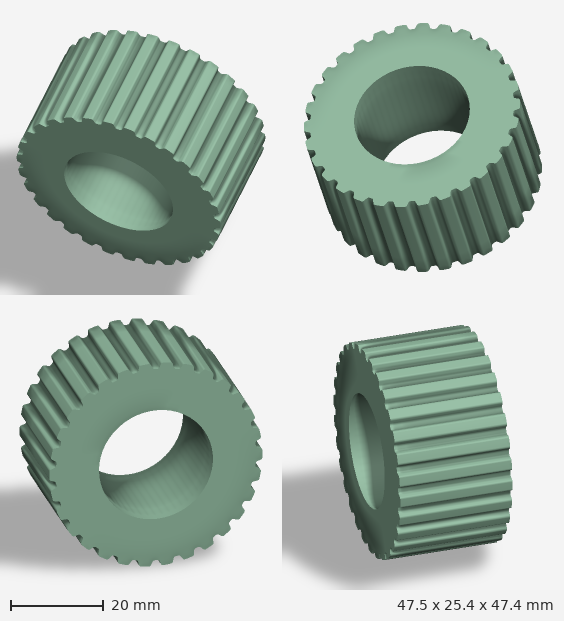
import cadquery as cq
import math

TOOTH_COUNT = 30
BELT_PITCH = 5.08
PITCH_LINE_OFFSET = 0.51
FACE_WIDTH = 25.4
BORE_DIAMETER = 25.4
GROOVE_DEPTH = 1.40
GROOVE_FLOOR_WIDTH = 1.27
FLANK_ANGLE = 25.0
CORNER_RADIUS = 0.508

tip_radius = TOOTH_COUNT * BELT_PITCH / (2 * math.pi) - PITCH_LINE_OFFSET
floor_height = tip_radius - GROOVE_DEPTH
half_floor = GROOVE_FLOOR_WIDTH / 2
pitch_angle = 2 * math.pi / TOOTH_COUNT


def groove_mouth_angle():
    """Angle from the groove axis to the point where a flank meets the tip circle."""
    flank = math.radians(FLANK_ANGLE)
    flank_distance = half_floor * math.cos(flank) - floor_height * math.sin(flank)
    return flank + math.asin(flank_distance / tip_radius)


def polar(radius, angle):
    """Point at the given angle clockwise from +Z."""
    return radius * math.sin(angle), radius * math.cos(angle)


def pulley_outline():
    """Sharp-cornered closed outline: one groove and one tooth tip per pitch."""
    mouth = groove_mouth_angle()
    floor_radius = math.hypot(half_floor, floor_height)
    floor_angle = math.atan2(half_floor, floor_height)

    outline = cq.Workplane("XZ").moveTo(*polar(tip_radius, -mouth))
    for index in range(TOOTH_COUNT):
        axis = index * pitch_angle
        outline = outline.lineTo(*polar(floor_radius, axis - floor_angle))
        outline = outline.lineTo(*polar(floor_radius, axis + floor_angle))
        outline = outline.lineTo(*polar(tip_radius, axis + mouth))
        tip_middle = polar(tip_radius, axis + pitch_angle / 2)
        tip_end = polar(tip_radius, axis + pitch_angle - mouth)
        outline = outline.threePointArc(tip_middle, tip_end)
    return outline.close()


def toothed_blank():
    """Solid pulley with every tip and root corner rounded, centred on Y = 0."""
    blank = pulley_outline().extrude(FACE_WIDTH / 2, both=True)
    return blank.edges("|Y").fillet(CORNER_RADIUS)


def bore():
    """Plain through bore along the pulley axis."""
    return cq.Workplane("XZ").circle(BORE_DIAMETER / 2).extrude(FACE_WIDTH / 2, both=True)


result = toothed_blank().cut(bore())